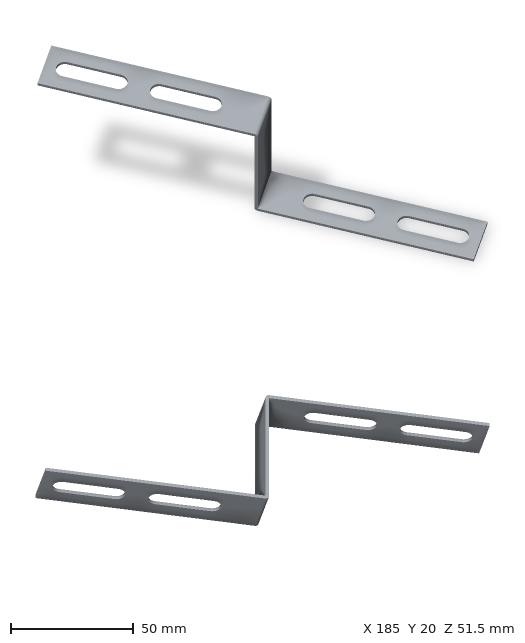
import cadquery as cq

length = 185.0
width = 20.0
height = 51.5
thickness = 1.5
bend_radius = thickness

web_offset = 0.2
web_left = (length - thickness) / 2 + web_offset
web_right = web_left + thickness

slot_length = 30.2
slot_width = 7.4
end_margin = 5.0
slot_pitch = 40.0


def bent_strip():
    """Z-shaped strip: upper left flange, vertical web, lower right flange."""
    outline = (
        cq.Workplane("XZ")
        .moveTo(0, height)
        .lineTo(web_right - bend_radius, height)
        .radiusArc((web_right, height - bend_radius), bend_radius)
        .lineTo(web_right, thickness)
        .lineTo(length, thickness)
        .lineTo(length, 0)
        .lineTo(web_left + bend_radius, 0)
        .radiusArc((web_left, bend_radius), bend_radius)
        .lineTo(web_left, height - thickness)
        .lineTo(0, height - thickness)
        .close()
    )
    return outline.extrude(width / 2, both=True)


def slot_cutters():
    """Two slots in each flange, mirrored about the middle of the length."""
    outer = end_margin + slot_length / 2
    inner = outer + slot_pitch
    centres = [(x, 0) for x in (outer, inner, length - inner, length - outer)]
    return cq.Workplane("XY").pushPoints(centres).slot2D(slot_length, slot_width).extrude(height)


result = bent_strip().cut(slot_cutters())